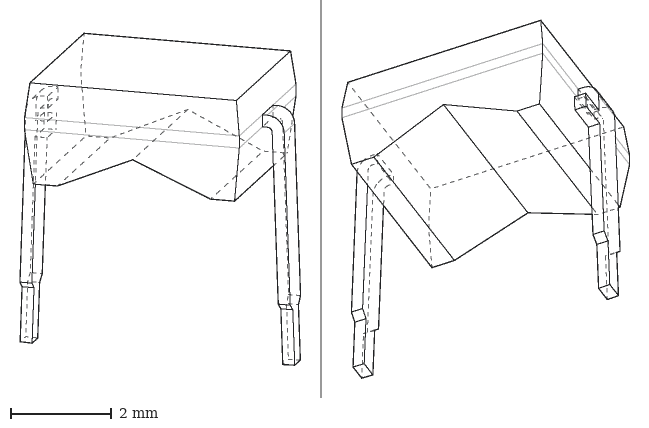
import cadquery as cq
import math

lead_span = 5.69
overall_height = 5.87

body_length = 4.45
body_width = 3.85
body_height = 2.1
top_depth = 0.7
draft_angle = 7
notch_width = 3.17
notch_height = 0.7

lead_thickness = 0.25
lead_width = 0.71
tip_width = 0.39
tip_length = 1.15
shoulder_height = 0.14
bend_inner_radius = 0.1
bend_outer_radius = bend_inner_radius + lead_thickness
splay_angle = math.radians(2)
lead_embed = 0.3

stub_length = 0.6
stub_height = 0.34
stub_depth = 1.43

body_top = body_height
lead_top = body_top - top_depth
lead_underside = lead_top - lead_thickness
tip_level = body_top - overall_height


def make_body():
    """Straight parting band with drafted halves above and below, notched underneath."""
    upper = (
        cq.Workplane("XY", origin=(0, 0, lead_top))
        .rect(body_length, body_width)
        .extrude(top_depth, taper=draft_angle)
    )
    band = (
        cq.Workplane("XY", origin=(0, 0, lead_underside))
        .rect(body_length, body_width)
        .extrude(lead_thickness)
    )
    lower = (
        cq.Workplane("XY", origin=(0, 0, lead_underside))
        .rect(body_length, body_width)
        .extrude(-lead_underside, taper=draft_angle)
    )
    notch = (
        cq.Workplane("XZ")
        .moveTo(-notch_width / 2, 0)
        .lineTo(0, notch_height)
        .lineTo(notch_width / 2, 0)
        .close()
        .extrude(body_width / 2, both=True)
    )
    return upper.union(band).union(lower).cut(notch)


def make_bent_strip(strip_width):
    """Strip on the +X side: out of the body, round the bend and down the splayed leg."""
    sine = math.sin(splay_angle)
    cosine = math.cos(splay_angle)
    center_z = lead_top - bend_outer_radius
    leg_length = (center_z + bend_inner_radius * sine - tip_level) / cosine
    center_x = lead_span / 2 - bend_outer_radius * cosine - leg_length * sine
    middle_angle = (math.pi / 2 + splay_angle) / 2

    def bend_point(radius, angle):
        return (center_x + radius * math.cos(angle), center_z + radius * math.sin(angle))

    def leg_end(radius):
        start_x, start_z = bend_point(radius, splay_angle)
        return (start_x + leg_length * sine, start_z - leg_length * cosine)

    inner_x = body_length / 2 - lead_embed
    return (
        cq.Workplane("XZ")
        .moveTo(inner_x, lead_top)
        .lineTo(center_x, lead_top)
        .threePointArc(
            bend_point(bend_outer_radius, middle_angle),
            bend_point(bend_outer_radius, splay_angle),
        )
        .lineTo(*leg_end(bend_outer_radius))
        .lineTo(*leg_end(bend_inner_radius))
        .lineTo(*bend_point(bend_inner_radius, splay_angle))
        .threePointArc(
            bend_point(bend_inner_radius, middle_angle),
            (center_x, lead_underside),
        )
        .lineTo(inner_x, lead_underside)
        .close()
        .extrude(strip_width / 2, both=True)
    )


def make_lead_silhouette():
    """Outline of a lead across its width, as a prism along +X."""
    tip_top = tip_level + tip_length
    shoulder_top = tip_top + shoulder_height
    return (
        cq.Workplane("YZ")
        .moveTo(-tip_width / 2, tip_level)
        .lineTo(tip_width / 2, tip_level)
        .lineTo(tip_width / 2, tip_top)
        .lineTo(lead_width / 2, shoulder_top)
        .lineTo(lead_width / 2, lead_top)
        .lineTo(-lead_width / 2, lead_top)
        .lineTo(-lead_width / 2, shoulder_top)
        .lineTo(-tip_width / 2, tip_top)
        .close()
        .extrude(lead_span / 2)
    )


def make_stub_silhouette():
    """Bar from the lead center out past its +Y edge, as a prism along +X."""
    stub_bottom = body_top - stub_depth - stub_height
    return cq.Workplane("XY", origin=(0, 0, stub_bottom)).box(
        lead_span / 2,
        lead_width / 2 + stub_length,
        stub_height,
        centered=False,
    )


silhouette = make_lead_silhouette()
plain_lead = make_bent_strip(lead_width).intersect(silhouette)
wide_strip = make_bent_strip(lead_width + 2 * stub_length)
stub_lead = wide_strip.intersect(silhouette.union(make_stub_silhouette()))

result = make_body().union(plain_lead).union(stub_lead.mirror("YZ"))